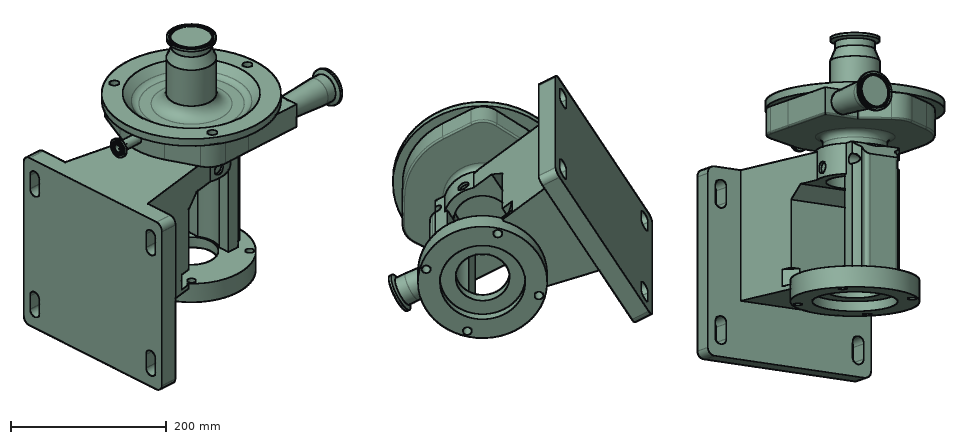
import cadquery as cq
import math


PLATE_SIDE = 250.0
PLATE_FRONT = -179.7
PLATE_THICKNESS = 25.0
PLATE_CORNER_RADIUS = 10.0
SLOT_WIDTH = 17.0
SLOT_LENGTH = 37.0
SLOT_SPACING_X = 210.0
SLOT_SPACING_Z = 179.7

BASE_RADIUS = 83.0
BASE_BORE_RADIUS = 34.5
BASE_RECESS_RADIUS = 55.0
BASE_RECESS_DEPTH = 13.0
BASE_BOTTOM = 55.5
BASE_TOP = 83.5
BASE_HOLE_RADIUS = 5.5
BASE_HOLE_CIRCLE = 75.0
BASE_HOLE_COUNT = 4
COLLAR_RADIUS = 50.5
COLLAR_BORE_RADIUS = 37.0
COLLAR_BOTTOM = 212.8
COLLAR_TOP = 253.0
COLLAR_HOLE_RADIUS = 7.5
COLLAR_HOLE_HEIGHT = 226.0
COLLAR_HOLE_DEPTH = 4.0

BRACKET_PLATE_HALF_WIDTH = 74.5
BRACKET_COLLAR_HALF_WIDTH = 48.5
BRACKET_COLLAR_Y = -14.5
BRACKET_BOTTOM = 77.5
BRACKET_REAR_Y = -62.5
BRACKET_CHAMFER = 17.7
NOTCH_HEIGHT = 22.0
NOTCH_DEPTH = 16.0

ARM_HALF_WIDTH = 36.0
ARM_FRONT_Y = 31.5
ARM_OUTER_RADIUS = 61.0
ARM_RIB_HALF_WIDTH = 25.5
ARM_REAR_Y = 65.5
ARM_RIB_FILLET = 5.5
ARM_CHAMFER = 17.7
ARM_HOLE_RADIUS = 7.0
ARM_HOLE_Y = 47.5
ARM_HOLE_HEIGHT = 230.0

NECK_RADIUS = 41.5
NECK_FILLET = 9.5
CASING_BOTTOM = 273.0
CASING_TOP = 308.0
CASING_SIDE_RADIUS = 102.8
CASING_FRONT_RADIUS = 98.5
CASING_FILLET = 2.5
LUG_RADIUS = 30.5
LUG_CIRCLE = 83.5
COVER_RADIUS = 115.3
COVER_TOP = 318.5
COVER_HOLE_RADIUS = 6.5
COVER_HOLE_CIRCLE = 102.5
COVER_HOLE_DEPTH = COVER_TOP - CASING_TOP
LUG_ANGLES = (90, 210, 330)

RECESS_RADIUS = 88.3
RECESS_WALL_ANGLE = 45
RECESS_WALL_END = 77.5
RECESS_FLOOR_RADIUS = 67.7
RECESS_INNER_RADIUS = 52.0

RIM_THICKNESS = 3.5
RIM_TAPER = 2.5
RIM_GROOVE_DEPTH = 1.2

INLET_BODY_RADIUS = 32.2
INLET_BODY_TOP = 372.0
INLET_NECK_RADIUS = 25.8
INLET_NECK_BOTTOM = 387.5
INLET_TOP = 403.0
INLET_RIM_RADIUS = 32.0

DISCHARGE_X = 79.0
DISCHARGE_HEIGHT = 290.0
DISCHARGE_END = 170.0
DISCHARGE_BLOCK_Y = 88.3
DISCHARGE_ROOT_RADIUS = 14.0
DISCHARGE_ROOT_LENGTH = 2.5
DISCHARGE_SMALL_RADIUS = 15.7
DISCHARGE_LARGE_RADIUS = 19.5
DISCHARGE_CONE_END = 149.5
DISCHARGE_RIM_RADIUS = 25.5

DRAIN_HEIGHT = 292.5
DRAIN_END = -134.0
DRAIN_RADIUS = 7.0
DRAIN_RIM_RADIUS = 13.0
DRAIN_BORE_RADIUS = 5.2
DRAIN_BORE_DEPTH = 12.0


def cylinder(radius, bottom, top):
    return cq.Workplane("XY").workplane(offset=bottom).circle(radius).extrude(top - bottom)


def polar(radius, degrees):
    angle = math.radians(degrees)
    return (radius * math.cos(angle), radius * math.sin(angle))


def rim_profile(tube_radius, rim_radius, end):
    """Points (radius, height) of a clamp rim with a ring groove in its end face."""
    groove_width = (rim_radius - tube_radius) / 3
    groove_inner = tube_radius + groove_width / 2
    return [
        (tube_radius, end - RIM_THICKNESS - RIM_TAPER),
        (rim_radius, end - RIM_THICKNESS),
        (rim_radius, end),
        (groove_inner + groove_width, end),
        (groove_inner + groove_width, end - RIM_GROOVE_DEPTH),
        (groove_inner, end - RIM_GROOVE_DEPTH),
        (groove_inner, end),
        (0, end),
    ]


def turned(points):
    """Solid of revolution about Z from (radius, height) points."""
    return cq.Workplane("XZ").polyline(points).close().revolve(360, (0, 0), (0, 1))


def belt(circles, bottom, top):
    """Prism inside a belt pulled counter-clockwise around (x, y, radius) circles."""
    tangents = []
    for (x1, y1, r1), (x2, y2, r2) in zip(circles, circles[1:] + circles[:1]):
        heading = math.atan2(y2 - y1, x2 - x1)
        distance = math.hypot(x2 - x1, y2 - y1)
        tangents.append(heading - math.acos((r1 - r2) / distance))
    outline = None
    for index, (x, y, radius) in enumerate(circles):
        start = tangents[index - 1]
        end = start + (tangents[index] - start) % math.tau
        middle = (start + end) / 2
        start_point, middle_point, end_point = [
            (x + radius * math.cos(a), y + radius * math.sin(a)) for a in (start, middle, end)
        ]
        if outline is None:
            outline = cq.Workplane("XY").workplane(offset=bottom).moveTo(*start_point)
        else:
            outline = outline.lineTo(*start_point)
        outline = outline.threePointArc(middle_point, end_point)
    return outline.close().extrude(top - bottom)


def mounting_plate():
    plate = (
        cq.Workplane("XZ", origin=(0, PLATE_FRONT, PLATE_SIDE / 2))
        .rect(PLATE_SIDE, PLATE_SIDE)
        .extrude(-PLATE_THICKNESS)
        .edges("|Y")
        .fillet(PLATE_CORNER_RADIUS)
    )
    slots = (
        cq.Workplane("XZ", origin=(0, PLATE_FRONT, PLATE_SIDE / 2))
        .rect(SLOT_SPACING_X, SLOT_SPACING_Z, forConstruction=True)
        .vertices()
        .slot2D(SLOT_LENGTH, SLOT_WIDTH, 90)
        .extrude(-PLATE_THICKNESS)
    )
    return plate.cut(slots)


def base_ring():
    holes = (
        cq.Workplane("XY")
        .workplane(offset=BASE_BOTTOM)
        .polarArray(BASE_HOLE_CIRCLE, 180 / BASE_HOLE_COUNT, 360, BASE_HOLE_COUNT)
        .circle(BASE_HOLE_RADIUS)
        .extrude(BASE_TOP - BASE_BOTTOM)
    )
    bore = cylinder(BASE_BORE_RADIUS, BASE_BOTTOM, BASE_TOP)
    recess = cylinder(BASE_RECESS_RADIUS, BASE_BOTTOM, BASE_BOTTOM + BASE_RECESS_DEPTH)
    return cylinder(BASE_RADIUS, BASE_BOTTOM, BASE_TOP).cut(bore).cut(recess).cut(holes)


def front_bracket():
    plate_back = PLATE_FRONT + PLATE_THICKNESS
    plan = (
        cq.Workplane("XY")
        .polyline([
            (-BRACKET_PLATE_HALF_WIDTH, plate_back),
            (BRACKET_PLATE_HALF_WIDTH, plate_back),
            (BRACKET_COLLAR_HALF_WIDTH, BRACKET_COLLAR_Y),
            (-BRACKET_COLLAR_HALF_WIDTH, BRACKET_COLLAR_Y),
        ])
        .close()
        .extrude(PLATE_SIDE)
    )
    side = (
        cq.Workplane("YZ")
        .polyline([
            (plate_back, BRACKET_BOTTOM),
            (BRACKET_REAR_Y, BRACKET_BOTTOM),
            (BRACKET_REAR_Y, COLLAR_BOTTOM - BRACKET_CHAMFER),
            (BRACKET_REAR_Y + BRACKET_CHAMFER, COLLAR_BOTTOM),
            (BRACKET_COLLAR_Y, COLLAR_BOTTOM),
            (BRACKET_COLLAR_Y, PLATE_SIDE),
            (plate_back, PLATE_SIDE),
        ])
        .close()
        .extrude(BRACKET_PLATE_HALF_WIDTH, both=True)
    )
    bracket = plan.intersect(side)

    side_slope = (BRACKET_PLATE_HALF_WIDTH - BRACKET_COLLAR_HALF_WIDTH) / (BRACKET_COLLAR_Y - plate_back)
    notch_y = BRACKET_REAR_Y - NOTCH_DEPTH
    notch_x = BRACKET_COLLAR_HALF_WIDTH + side_slope * (BRACKET_COLLAR_Y - notch_y)
    for sign in (-1, 1):
        notch = (
            cq.Workplane("XY")
            .workplane(offset=BASE_TOP)
            .polyline([
                (sign * notch_x, notch_y),
                (sign * notch_x, BRACKET_REAR_Y),
                (sign * (notch_x - NOTCH_DEPTH), BRACKET_REAR_Y),
            ])
            .close()
            .extrude(NOTCH_HEIGHT)
        )
        bracket = bracket.cut(notch)
    return bracket


def rear_arm():
    height = COLLAR_TOP - BASE_TOP
    depth = ARM_REAR_Y - ARM_FRONT_Y

    def block(half_width):
        center_y = (ARM_REAR_Y + ARM_FRONT_Y) / 2
        return cq.Workplane("XY", origin=(0, center_y, BASE_TOP)).rect(2 * half_width, depth).extrude(height)

    sector = block(ARM_HALF_WIDTH).intersect(cylinder(ARM_OUTER_RADIUS, BASE_TOP, COLLAR_TOP))
    rib = block(ARM_RIB_HALF_WIDTH).edges("|Z and >Y").fillet(ARM_RIB_FILLET)
    chamfer = (
        cq.Workplane("YZ")
        .polyline([
            (ARM_REAR_Y - ARM_CHAMFER, COLLAR_TOP),
            (ARM_REAR_Y, COLLAR_TOP),
            (ARM_REAR_Y, COLLAR_TOP - ARM_CHAMFER),
        ])
        .close()
        .extrude(ARM_HALF_WIDTH, both=True)
    )
    return sector.union(rib).cut(chamfer)


def arm_hole():
    return (
        cq.Workplane("YZ", origin=(0, ARM_HOLE_Y, ARM_HOLE_HEIGHT))
        .circle(ARM_HOLE_RADIUS)
        .extrude(ARM_HALF_WIDTH, both=True)
    )


def pedestal():
    body = base_ring().union(cylinder(COLLAR_RADIUS, COLLAR_BOTTOM, COLLAR_TOP))
    body = body.union(front_bracket()).union(rear_arm())
    body = body.cut(cylinder(COLLAR_BORE_RADIUS, BASE_TOP, COLLAR_TOP)).cut(arm_hole())
    for sign in (-1, 1):
        hole = (
            cq.Workplane("YZ", origin=(sign * COLLAR_RADIUS, 0, COLLAR_HOLE_HEIGHT))
            .circle(COLLAR_HOLE_RADIUS)
            .extrude(-sign * COLLAR_HOLE_DEPTH)
        )
        body = body.cut(hole)
    return body


def neck():
    fillet_start = CASING_BOTTOM - NECK_FILLET
    bend = NECK_FILLET * (1 - math.sqrt(0.5))
    return (
        cq.Workplane("XZ")
        .moveTo(0, COLLAR_TOP)
        .lineTo(NECK_RADIUS, COLLAR_TOP)
        .lineTo(NECK_RADIUS, fillet_start)
        .threePointArc((NECK_RADIUS + bend, CASING_BOTTOM - bend), (NECK_RADIUS + NECK_FILLET, CASING_BOTTOM))
        .lineTo(0, CASING_BOTTOM)
        .close()
        .revolve(360, (0, 0), (0, 1))
    )


def casing():
    lug_rear, lug_left, lug_right = [(*polar(LUG_CIRCLE, a), LUG_RADIUS) for a in LUG_ANGLES]
    side = (0, 0, CASING_SIDE_RADIUS)
    front = (0, 0, CASING_FRONT_RADIUS)
    body = belt([lug_rear, side, lug_left, front, lug_right, side], CASING_BOTTOM, CASING_TOP)
    block = (
        cq.Workplane("XY")
        .workplane(offset=CASING_BOTTOM)
        .rect(CASING_SIDE_RADIUS, DISCHARGE_BLOCK_Y, centered=False)
        .extrude(CASING_TOP - CASING_BOTTOM)
    )
    return body.union(block).faces("<Z").edges().fillet(CASING_FILLET)


def cover():
    return cylinder(COVER_RADIUS, CASING_TOP, COVER_TOP)


def cover_recess():
    wall_slope = math.radians(RECESS_WALL_ANGLE)
    wall_drop = (RECESS_RADIUS - RECESS_WALL_END) * math.tan(wall_slope)
    round_radius = (RECESS_WALL_END - RECESS_FLOOR_RADIUS) / math.sin(wall_slope)
    floor = COVER_TOP - wall_drop - round_radius * (1 - math.cos(wall_slope))
    round_middle = (
        RECESS_FLOOR_RADIUS + round_radius * math.sin(wall_slope / 2),
        floor + round_radius * (1 - math.cos(wall_slope / 2)),
    )
    return (
        cq.Workplane("XZ")
        .moveTo(INLET_BODY_RADIUS, COVER_TOP)
        .lineTo(RECESS_RADIUS, COVER_TOP)
        .lineTo(RECESS_WALL_END, COVER_TOP - wall_drop)
        .threePointArc(round_middle, (RECESS_FLOOR_RADIUS, floor))
        .lineTo(RECESS_INNER_RADIUS, floor)
        .tangentArcPoint((INLET_BODY_RADIUS, COVER_TOP), relative=False)
        .close()
        .revolve(360, (0, 0), (0, 1))
    )


def cover_holes():
    return (
        cq.Workplane("XY")
        .workplane(offset=COVER_TOP)
        .polarArray(COVER_HOLE_CIRCLE, LUG_ANGLES[0], 360, len(LUG_ANGLES))
        .circle(COVER_HOLE_RADIUS)
        .extrude(-COVER_HOLE_DEPTH)
    )


def inlet():
    return turned(
        [
            (0, COVER_TOP),
            (INLET_BODY_RADIUS, COVER_TOP),
            (INLET_BODY_RADIUS, INLET_BODY_TOP),
            (INLET_NECK_RADIUS, INLET_NECK_BOTTOM),
        ]
        + rim_profile(INLET_NECK_RADIUS, INLET_RIM_RADIUS, INLET_TOP)
    )


def discharge():
    root_end = DISCHARGE_BLOCK_Y + DISCHARGE_ROOT_LENGTH
    pipe = turned(
        [
            (0, 0),
            (DISCHARGE_ROOT_RADIUS, 0),
            (DISCHARGE_ROOT_RADIUS, root_end),
            (DISCHARGE_SMALL_RADIUS, root_end),
            (DISCHARGE_LARGE_RADIUS, DISCHARGE_CONE_END),
        ]
        + rim_profile(DISCHARGE_LARGE_RADIUS, DISCHARGE_RIM_RADIUS, DISCHARGE_END)
    )
    return pipe.rotate((0, 0, 0), (1, 0, 0), -90).translate((DISCHARGE_X, 0, DISCHARGE_HEIGHT))


def drain():
    pipe = turned(
        [(0, 0), (DRAIN_RADIUS, 0)] + rim_profile(DRAIN_RADIUS, DRAIN_RIM_RADIUS, -DRAIN_END)
    )
    pipe = pipe.cut(cylinder(DRAIN_BORE_RADIUS, -DRAIN_END - DRAIN_BORE_DEPTH, -DRAIN_END))
    return pipe.rotate((0, 0, 0), (1, 0, 0), 90).translate((0, 0, DRAIN_HEIGHT))


pump = casing().union(neck()).union(cover()).union(discharge()).union(drain())
pump = pump.cut(cover_recess()).union(inlet()).cut(cover_holes())
result = mounting_plate().union(pedestal()).union(pump)